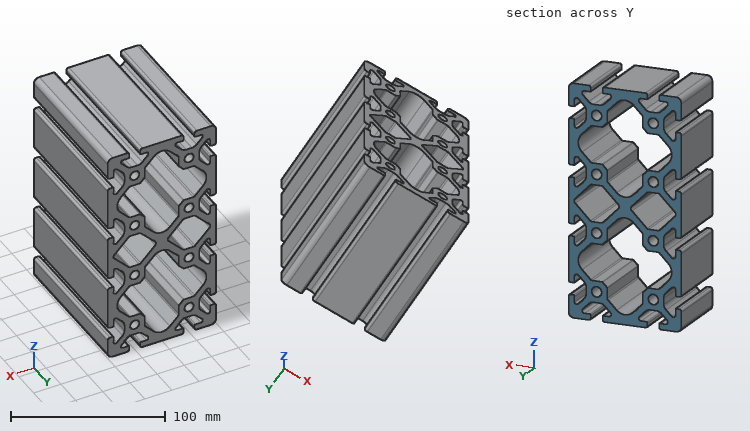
import cadquery as cq

cell = 40.0
columns = 2
rows = 4
length = 100.0
width = columns * cell
height = rows * cell
corner_radius = 4.0

slot_opening = 8.0
lip_thickness = 4.5
lip_edge_radius = 1.8
lip_inner_radius = 0.8
slot_depth = 12.5
slot_floor_width = 8.3
slot_heel_radius = 1.5
slot_floor_radius = 5.0

bore_diameter = 6.7
hub_half = cell / 2 - slot_depth
hub_corner_chamfer = 3.5
hub_corner_radius = 0.5

cavity_flat_width = 7.5
cavity_lobe_radius = 8.3
diamond_flat_width = 8.0
diamond_tip_radius = 2.0
web_bend_radius = 1.6

point_tolerance = 0.02


def prism(points):
    """Extrude a closed outline in the XZ plane over the full length, centred on Y."""
    return cq.Workplane("XZ").polyline(points).close().extrude(length / 2, both=True)


def edges_at(points):
    """Select the lengthwise edges that pass through the given outline points."""
    selector = None
    for x, z in points:
        box = cq.selectors.BoxSelector(
            (x - point_tolerance, -length, z - point_tolerance),
            (x + point_tolerance, length, z + point_tolerance),
        )
        selector = box if selector is None else selector + box
    return selector


def make_slot():
    """T-slot opening upward, its mouth centred on the origin."""
    mouth = slot_opening / 2
    floor = slot_floor_width / 2
    heel = floor + slot_depth - lip_thickness
    half = [(mouth, 0), (mouth, -lip_thickness), (heel, -lip_thickness), (floor, -slot_depth)]
    mirrored = [(-x, z) for x, z in reversed(half)]
    slot = prism(half + mirrored)
    radii = [lip_inner_radius, slot_heel_radius, slot_floor_radius]
    for (x, z), radius in zip(half[1:], radii):
        slot = slot.edges(edges_at([(x, z), (-x, z)])).fillet(radius)
    return slot


def make_diamond():
    """Flat-topped diamond cavity between two vertically adjacent hubs, centred on the origin."""
    flat = diamond_flat_width / 2
    reach = flat + slot_depth
    tips = [(reach, 0), (-reach, 0)]
    bends = [(flat, slot_depth), (-flat, slot_depth), (-flat, -slot_depth), (flat, -slot_depth)]
    outline = [tips[0], *bends[:2], tips[1], *bends[2:]]
    diamond = prism(outline).edges(edges_at(tips)).fillet(diamond_tip_radius)
    return diamond.edges(edges_at(bends)).fillet(web_bend_radius)


def make_cavity():
    """Four-lobed cavity between a 2 x 2 group of hubs, centred on the origin."""
    inner = cell / 2 - hub_half
    knee = cell / 2 + cavity_flat_width / 2
    apex = knee + inner
    cut_corner = inner + hub_corner_chamfer
    lobes = []
    hub_corners = []
    knees = []
    outline = []
    quadrant = [(apex, 0), (knee, inner), (cut_corner, inner), (inner, cut_corner), (inner, knee)]
    for _ in range(4):
        lobes.append(quadrant[0])
        knees += [quadrant[1], quadrant[4]]
        hub_corners += quadrant[2:4]
        outline += quadrant
        quadrant = [(-z, x) for x, z in quadrant]
    cavity = prism(outline).edges(edges_at(lobes)).fillet(cavity_lobe_radius)
    cavity = cavity.edges(edges_at(knees)).fillet(web_bend_radius)
    return cavity.edges(edges_at(hub_corners)).fillet(hub_corner_radius)


def make_blank():
    """Solid bar with rounded outer corners."""
    return cq.Workplane("XY").box(width, length, height).edges("|Y").fillet(corner_radius)


def cell_centres(count):
    """Coordinates of the cell centres along one side of the grid."""
    return [(i - (count - 1) / 2) * cell for i in range(count)]


def turned(shape, angle):
    """Rotate a shape about the Y axis."""
    return shape.rotate((0, 0, 0), (0, 1, 0), angle)


profile = make_blank()

slot = make_slot()
lip_corners = []
for x in cell_centres(columns):
    profile = profile.cut(slot.translate((x, 0, height / 2)))
    profile = profile.cut(turned(slot, 180).translate((x, 0, -height / 2)))
    for side in (1, -1):
        lip_corners += [(x + edge * slot_opening / 2, side * height / 2) for edge in (1, -1)]
for z in cell_centres(rows):
    profile = profile.cut(turned(slot, 90).translate((width / 2, 0, z)))
    profile = profile.cut(turned(slot, -90).translate((-width / 2, 0, z)))
    for side in (1, -1):
        lip_corners += [(side * width / 2, z + edge * slot_opening / 2) for edge in (1, -1)]
profile = profile.edges(edges_at(lip_corners)).fillet(lip_edge_radius)

cavity = make_cavity()
for z in (height / 4, -height / 4):
    profile = profile.cut(cavity.translate((0, 0, z)))

diamond = make_diamond()
bore = cq.Workplane("XZ").circle(bore_diameter / 2).extrude(length / 2, both=True)
for x in cell_centres(columns):
    profile = profile.cut(diamond.translate((x, 0, 0)))
    for z in cell_centres(rows):
        profile = profile.cut(bore.translate((x, 0, z)))

result = profile